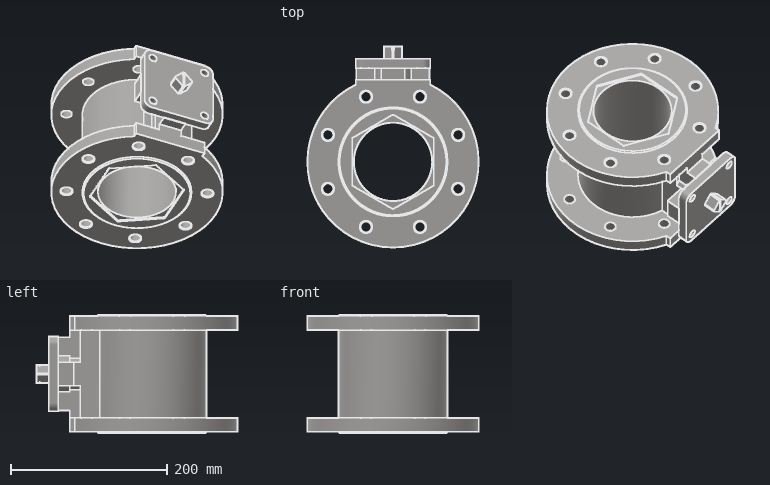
import cadquery as cq
import math

height = 152.0
overall_length = 257.5

body_dia = 140.0
bore_dia = 100.0

flange_dia = 219.5
flange_thickness = 18.0
raised_face_height = 1.8
bolt_count = 8
bolt_circle_dia = 180.3
bolt_hole_dia = 14.0
bolt_chamfer = 1.0

hex_flats = 104.8
hex_corners = hex_flats / math.cos(math.pi / 6)
hex_depth = 2.5

plate_outer_y = 132.1
plate_inner_y = 119.8
web_end_y = 105.0
neck_end_y = 91.7
side_arm_start_y = 99.7
plate_width = 95.8
plate_corner_radius = 10.3
plate_hole_dia = 10.5
plate_hole_spacing = 72.0
arm_span = 94.0
arm_width = 30.1
upper_hub_dia = 55.0
lower_hub_dia = 50.0
neck_width = 40.0

stem_side = 18.0
stem_span = 23.2
slot_width = 2.0
slot_depth = 4.6

stem_end_y = overall_length - flange_dia / 2
flange_face = height / 2 - raised_face_height
flange_gap = 2 * (flange_face - flange_thickness)


def block(x_size, y_start, y_end, z_size):
    """Box centred on X and Z, from y_start to y_end."""
    middle_y = (y_start + y_end) / 2
    return cq.Workplane("XY").box(x_size, y_end - y_start, z_size).translate((0, middle_y, 0))


def mirrored(upper):
    """A solid of the upper end together with its copy at the lower end."""
    return upper.union(upper.mirror("XY"))


def flange():
    """Upper flange with its flat mounting edge on the +Y side."""
    disc = cq.Workplane("XY").circle(flange_dia / 2).extrude(flange_thickness)
    edge = (
        cq.Workplane("XY")
        .rect(plate_width, web_end_y, centered=(True, False))
        .extrude(flange_thickness)
    )
    beyond_edge = block(flange_dia, web_end_y, flange_dia, height)
    return disc.union(edge).cut(beyond_edge).translate((0, 0, flange_face - flange_thickness))


def bolt_holes():
    """Upper ring of bolt holes, chamfered at the outer face of the flange."""
    ring = cq.Workplane("XY", origin=(0, 0, flange_face)).polarArray(
        bolt_circle_dia / 2, 180 / bolt_count, 360, bolt_count
    )
    hole_radius = bolt_hole_dia / 2
    hole = (
        cq.Workplane("XZ")
        .moveTo(0, 0)
        .lineTo(hole_radius + bolt_chamfer, 0)
        .lineTo(hole_radius, -bolt_chamfer)
        .lineTo(hole_radius, -flange_thickness)
        .lineTo(0, -flange_thickness)
        .close()
        .revolve(360, (0, 0), (0, 1))
        .val()
    )
    return ring.eachpoint(lambda place: hole.located(place), combine="a")


def hex_recess():
    """Upper hexagonal recess, corners on the Y axis."""
    hexagon = cq.Workplane("XY").polygon(6, hex_corners).extrude(hex_depth)
    return hexagon.rotate((0, 0, 0), (0, 0, 1), 90).translate((0, 0, height / 2 - hex_depth))


def hub(diameter, y_start, y_end):
    """Round hub along the stem axis."""
    return cq.Workplane("XZ", origin=(0, y_start, 0)).circle(diameter / 2).extrude(y_start - y_end)


def bracket():
    """Neck, web, hub and cross-shaped arms that carry the mounting plate."""
    neck = block(neck_width, 0, neck_end_y, flange_gap)
    web = block(arm_width, 0, web_end_y, flange_gap)
    upright_arms = block(arm_width, web_end_y, plate_inner_y, arm_span)
    side_arms = block(arm_span, side_arm_start_y, plate_inner_y, arm_width)
    lower_hub = hub(lower_hub_dia, neck_end_y, web_end_y)
    lower_hub = lower_hub.intersect(block(neck_width, neck_end_y, web_end_y, lower_hub_dia))
    upper_hub = hub(upper_hub_dia, web_end_y, plate_inner_y)
    return (
        neck.union(web)
        .union(upright_arms)
        .union(side_arms)
        .union(lower_hub)
        .union(upper_hub)
    )


def mounting_plate():
    """Square plate with rounded corners and a hole in each corner."""
    plate = block(plate_width, plate_inner_y, plate_outer_y, plate_width)
    plate = plate.edges("|Y").fillet(plate_corner_radius)
    return (
        plate.faces(">Y")
        .workplane(centerOption="CenterOfBoundBox")
        .rect(plate_hole_spacing, plate_hole_spacing, forConstruction=True)
        .vertices()
        .hole(plate_hole_dia)
    )


def stem():
    """Drive stem with a slot along Z across its end."""
    bar = block(stem_side, plate_inner_y, stem_end_y, stem_side).rotate((0, 0, 0), (0, 1, 0), 45)
    bar = bar.intersect(block(stem_span, plate_inner_y, stem_end_y, stem_span))
    return bar.cut(block(slot_width, stem_end_y - slot_depth, stem_end_y, stem_span))


body = cq.Workplane("XY").circle(body_dia / 2).extrude(height / 2, both=True)
body = body.faces("<Z or >Z").chamfer(raised_face_height)

result = (
    body.union(mirrored(flange()))
    .union(bracket())
    .union(mounting_plate())
    .union(stem())
    .cut(cq.Workplane("XY").circle(bore_dia / 2).extrude(height / 2, both=True))
    .cut(mirrored(bolt_holes()))
    .cut(mirrored(hex_recess()))
    .clean()
)